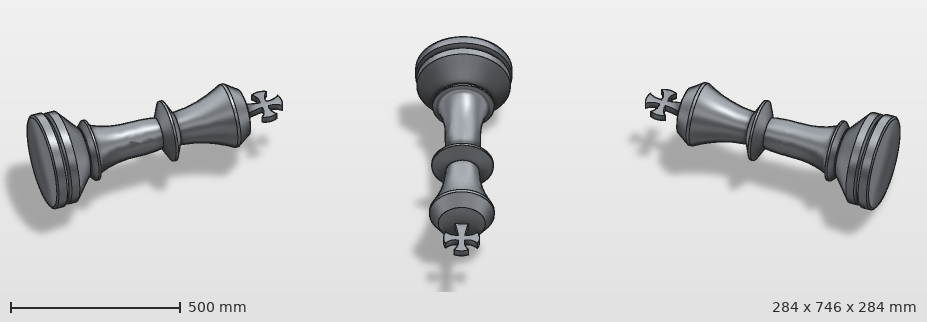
import cadquery as cq

total_height = 746.0

base_diameter = 284.0
base_radius = base_diameter / 2
base_edge_radius = 136.0
base_chamfer_height = 4.5
disc_top = 30.5
groove_radius = 130.0
groove_height = 39.5
shoulder_radius = 138.0
shoulder_bottom = 46.0
shoulder_top = 71.0
waist_radius = 74.0
waist_bottom = 127.0
waist_top = 130.5

collar_radius = 91.0
lower_rim_bottom = 147.0
lower_rim_top = 154.0
upper_rim_bottom = 387.0
upper_rim_top = 395.0

column_flare = [(77.5, 160.0), (68.0, 177.0), (54.0, 239.5)]
column_top_radius = 46.0
column_top = 363.5

neck_radius = 49.0
neck_bottom = 416.5
neck_top = 421.0
bell_curve = [(55.0, 468.0), (71.0, 523.0)]
head_radius = 95.5
head_rim_bottom = 577.5
head_rim_top = 587.0
dome_radius = 69.5
dome_bottom = 626.0
dome_middle = (40.0, 634.0)
dome_top = 636.5

cross_height = 692.5
cross_thickness = 22.0
cross_half_web = 10.0
side_reach = 53.0
side_corner_reach = 47.0
side_half_width = 23.0
side_middle = (32.0, 12.0)
top_reach = total_height - cross_height
top_corner_reach = 49.0
top_half_width = 22.0
top_middle = (12.0, 33.0)
foot_half_width = 21.0
foot_sink = 4.5
foot_reach = cross_height - dome_top + foot_sink
foot_middle = (13.5, 33.0)


def make_body():
    """Turned body, revolved about the Y axis."""
    profile = (
        cq.Workplane("XY")
        .lineTo(base_edge_radius, 0)
        .lineTo(base_radius, base_chamfer_height)
        .lineTo(base_radius, disc_top)
        .lineTo(groove_radius, groove_height)
        .lineTo(shoulder_radius, shoulder_bottom)
        .lineTo(shoulder_radius, shoulder_top)
        .lineTo(waist_radius, waist_bottom)
        .lineTo(waist_radius, waist_top)
        .lineTo(collar_radius, lower_rim_bottom)
        .lineTo(collar_radius, lower_rim_top)
        .spline(column_flare + [(column_top_radius, column_top)], includeCurrent=True)
        .lineTo(collar_radius, upper_rim_bottom)
        .lineTo(collar_radius, upper_rim_top)
        .lineTo(neck_radius, neck_bottom)
        .lineTo(neck_radius, neck_top)
        .spline(bell_curve + [(head_radius, head_rim_bottom)], includeCurrent=True)
        .lineTo(head_radius, head_rim_top)
        .lineTo(dome_radius, dome_bottom)
        .threePointArc(dome_middle, (0, dome_top))
        .close()
    )
    return profile.revolve(360, (0, 0, 0), (0, 1, 0))


def make_cross():
    """Flat cross with flared arms, its foot sunk into the dome."""
    right_side = (
        cq.Workplane("XY")
        .moveTo(0, -foot_reach)
        .lineTo(foot_half_width, -foot_reach)
        .threePointArc((foot_middle[0], -foot_middle[1]), (cross_half_web, -cross_half_web))
        .threePointArc((side_middle[0], -side_middle[1]), (side_corner_reach, -side_half_width))
        .threePointArc((side_reach, 0), (side_corner_reach, side_half_width))
        .threePointArc(side_middle, (cross_half_web, cross_half_web))
        .threePointArc(top_middle, (top_half_width, top_corner_reach))
        .threePointArc((0, top_reach), (-top_half_width, top_corner_reach))
        .lineTo(0, top_corner_reach)
        .close()
        .extrude(cross_thickness / 2, both=True)
    )
    cross = right_side.union(right_side.mirror("YZ"))
    return cross.translate((0, cross_height, 0))


result = make_body().union(make_cross())